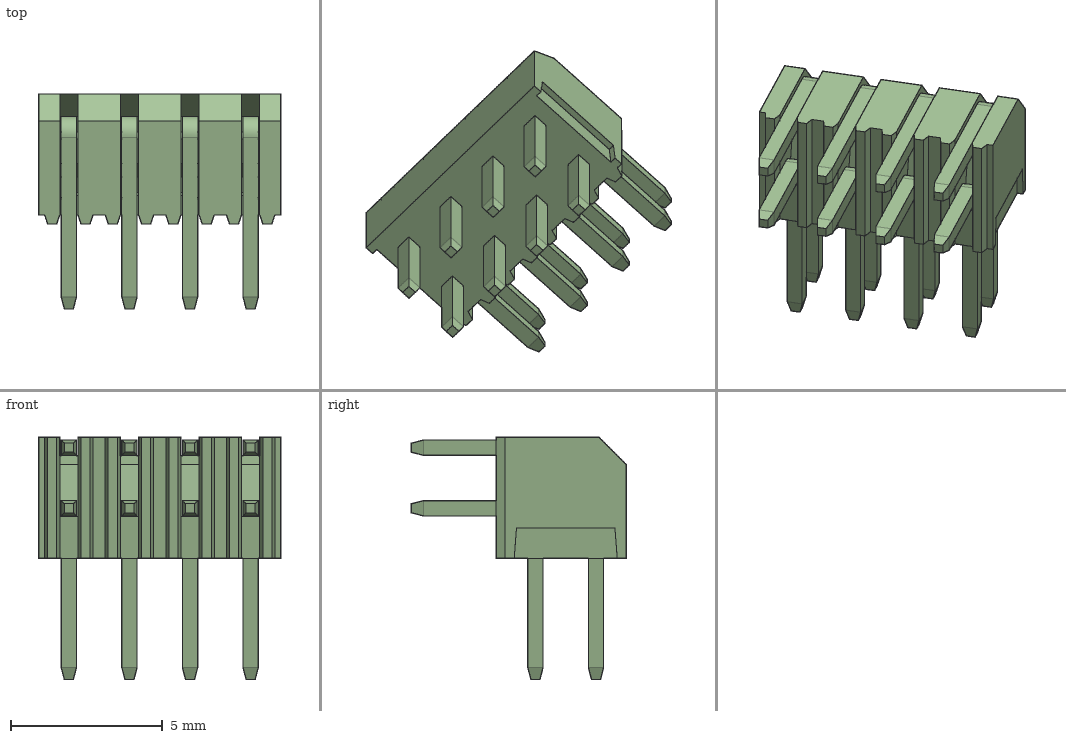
import cadquery as cq
import math


column_count = 4
pitch = 2.0
housing_length = column_count * pitch
housing_depth = 4.0
housing_height = 4.0
back_chamfer = 0.9

pin_size = 0.51
tip_size = 0.3
tip_length = 0.4
back_row_depth = 1.0
front_row_depth = back_row_depth + pitch
top_row_height = 3.655
low_row_height = top_row_height - pitch
vertical_reach = 4.0
horizontal_reach = 7.1
bend_inner_radius = 0.23
bend_outer_radius = 0.7

slot_width = 0.6
arm_clearance = 0.01
slot_floor_height = low_row_height - pin_size / 2 - arm_clearance
rear_leg_back = back_row_depth - pin_size / 2
rear_leg_front = back_row_depth + pin_size / 2
front_leg_back = front_row_depth - pin_size / 2
front_leg_front = front_row_depth + pin_size / 2
saddle_height = slot_floor_height + pitch
saddle_edge_depth = 2.3
saddle_edge_height = housing_height - back_chamfer
floor_chamfer = 0.1
seat_drop = 0.07

rib_height = 0.3
rib_base_width = 0.5
rib_top_width = 0.3

recess_height = 1.0
recess_depth = 0.2
recess_bottom_width = 3.4
recess_top_width = 3.25
recess_center_depth = housing_depth / 2


def column_x(index):
    return (index - (column_count - 1) / 2) * pitch


def quarter_arc_inset(radius):
    """Distance along each axis from the corner of a quarter round to the middle of its arc."""
    return radius * (1 - math.sqrt(0.5))


def extrude_along_x(sketch, x_center, width):
    """Extrude a YZ outline by width, centred on x_center."""
    return sketch.extrude(width / 2, both=True).translate((x_center, 0, 0))


def make_block():
    outline = (
        cq.Workplane("YZ")
        .moveTo(0, 0)
        .lineTo(0, housing_height - back_chamfer)
        .lineTo(-back_chamfer, housing_height)
        .lineTo(-housing_depth, housing_height)
        .lineTo(-housing_depth, 0)
        .close()
    )
    return extrude_along_x(outline, 0, housing_length)


def make_rib(x_center):
    base = rib_base_width / 2
    top = rib_top_width / 2
    front = -housing_depth
    return (
        cq.Workplane("XY")
        .polyline([(-base, front), (base, front), (top, front - rib_height), (-top, front - rib_height)])
        .close()
        .extrude(housing_height)
        .translate((x_center, 0, 0))
    )


def make_slot(x_center):
    """Space above the sloped slot floor, open to the back, top and front."""
    inset = quarter_arc_inset(bend_inner_radius)
    outline = (
        cq.Workplane("YZ")
        .moveTo(0, housing_height - back_chamfer)
        .lineTo(-rear_leg_back, slot_floor_height)
        .lineTo(-rear_leg_front, slot_floor_height)
        .lineTo(-rear_leg_front, saddle_height - bend_inner_radius)
        .threePointArc(
            (-rear_leg_front - inset, saddle_height - inset),
            (-rear_leg_front - bend_inner_radius, saddle_height),
        )
        .lineTo(-saddle_edge_depth, saddle_edge_height)
        .lineTo(-front_leg_back, slot_floor_height - floor_chamfer)
        .lineTo(-front_leg_front, slot_floor_height - floor_chamfer)
        .lineTo(-front_leg_front - floor_chamfer, slot_floor_height)
        .lineTo(-housing_depth - rib_height, slot_floor_height)
        .lineTo(-housing_depth - rib_height, housing_height)
        .lineTo(0, housing_height)
        .close()
    )
    return extrude_along_x(outline, x_center, slot_width)


def make_seat(x_center, leg_depth, top_height):
    """Tapered lead-in below the slot floor that narrows to the width of a vertical leg."""
    wide = slot_width / 2
    narrow = pin_size / 2
    bottom_height = top_height - seat_drop
    return (
        cq.Workplane("XZ")
        .polyline([(-wide, top_height), (wide, top_height), (narrow, bottom_height), (-narrow, bottom_height)])
        .close()
        .extrude(pin_size / 2, both=True)
        .translate((x_center, -leg_depth, 0))
    )


def make_recess(side):
    """Trapezoidal recess along the lower edge of one end face; side is -1 or 1."""
    bottom = recess_bottom_width / 2
    top = recess_top_width / 2
    outline = (
        cq.Workplane("YZ")
        .polyline([(-bottom, 0), (bottom, 0), (top, recess_height), (-top, recess_height)])
        .close()
    )
    recess = extrude_along_x(outline, side * (housing_length - recess_depth) / 2, recess_depth)
    return recess.translate((0, -recess_center_depth, 0))


def make_tip(plane):
    """Square frustum that ends a pin, from the pin section along the plane normal."""
    return (
        cq.Workplane(plane)
        .rect(pin_size, pin_size)
        .workplane(offset=tip_length)
        .rect(tip_size, tip_size)
        .loft(ruled=True)
    )


def make_pin(x_center, leg_depth, arm_height):
    """Bent square pin with a vertical leg and a horizontal arm."""
    half = pin_size / 2
    back = -leg_depth + half
    front = -leg_depth - half
    top = arm_height + half
    bottom = arm_height - half
    leg_end = -vertical_reach + tip_length
    arm_end = -horizontal_reach + tip_length
    outer_inset = quarter_arc_inset(bend_outer_radius)
    inner_inset = quarter_arc_inset(bend_inner_radius)
    outline = (
        cq.Workplane("YZ")
        .moveTo(back, leg_end)
        .lineTo(back, top - bend_outer_radius)
        .threePointArc((back - outer_inset, top - outer_inset), (back - bend_outer_radius, top))
        .lineTo(arm_end, top)
        .lineTo(arm_end, bottom)
        .lineTo(front - bend_inner_radius, bottom)
        .threePointArc(
            (front - inner_inset, bottom - inner_inset),
            (front, bottom - bend_inner_radius),
        )
        .lineTo(front, leg_end)
        .close()
    )
    leg_tip = make_tip(cq.Plane((x_center, -leg_depth, leg_end), (1, 0, 0), (0, 0, -1)))
    arm_tip = make_tip(cq.Plane((x_center, arm_end, arm_height), (1, 0, 0), (0, -1, 0)))
    return extrude_along_x(outline, x_center, pin_size).union(leg_tip).union(arm_tip)


def make_housing():
    housing = make_block()
    rib_offset = (slot_width + rib_base_width) / 2
    for index in range(column_count):
        x = column_x(index)
        housing = housing.union(make_rib(x - rib_offset)).union(make_rib(x + rib_offset))
        housing = housing.cut(make_slot(x))
        housing = housing.cut(make_seat(x, back_row_depth, slot_floor_height))
        housing = housing.cut(make_seat(x, front_row_depth, slot_floor_height - floor_chamfer))
    for side in (-1, 1):
        housing = housing.cut(make_recess(side))
    return housing


result = make_housing()
for index in range(column_count):
    x = column_x(index)
    result = result.union(make_pin(x, back_row_depth, top_row_height))
    result = result.union(make_pin(x, front_row_depth, low_row_height))